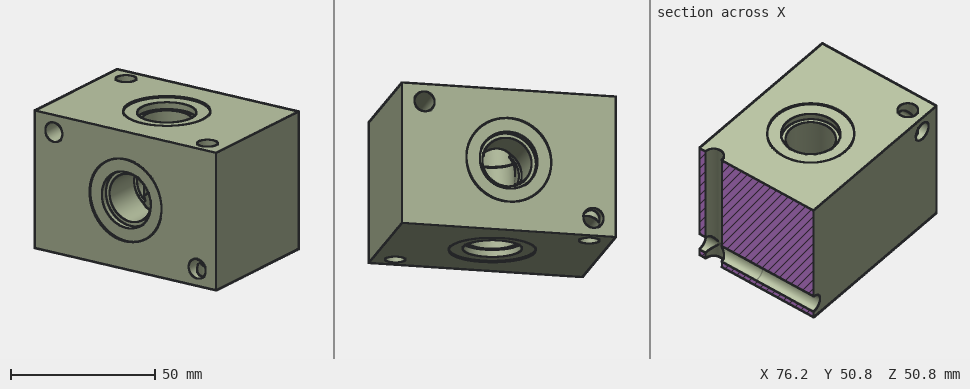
import cadquery as cq

length = 76.2
side = 50.8
half_side = side / 2

recess_diameter = 30.25
recess_depth = 0.5
seal_diameter = 20.6
seal_depth = 2.5
bore_diameter = 17.5
core_diameter = 15.9
taper_start = 7.25
taper_end = 6.6

mount_diameter = 7.2
mount_x = 30.1
mount_offset = 19.05


def port_cutter():
    """Port opening on the +Z face and reaching the block centre."""
    recess_floor = half_side - recess_depth
    seal_floor = recess_floor - seal_depth
    return (
        cq.Workplane("XZ")
        .moveTo(0, 0)
        .lineTo(core_diameter / 2, 0)
        .lineTo(core_diameter / 2, taper_end)
        .lineTo(bore_diameter / 2, taper_start)
        .lineTo(bore_diameter / 2, seal_floor)
        .lineTo(seal_diameter / 2, seal_floor)
        .lineTo(seal_diameter / 2, recess_floor)
        .lineTo(recess_diameter / 2, recess_floor)
        .lineTo(recess_diameter / 2, half_side)
        .lineTo(0, half_side)
        .close()
        .revolve(360, (0, 0, 0), (0, 1, 0))
    )


def mounting_holes(plane):
    """Two through holes at diagonally opposite corners of the given plane."""
    return (
        cq.Workplane(plane)
        .pushPoints([(-mount_x, mount_offset), (mount_x, -mount_offset)])
        .circle(mount_diameter / 2)
        .extrude(half_side, both=True)
    )


result = cq.Workplane("XY").box(length, side, side)

for angle in (0, 90, 180):
    result = result.cut(port_cutter().rotate((0, 0, 0), (1, 0, 0), angle))

for plane in ("XY", "XZ"):
    result = result.cut(mounting_holes(plane))